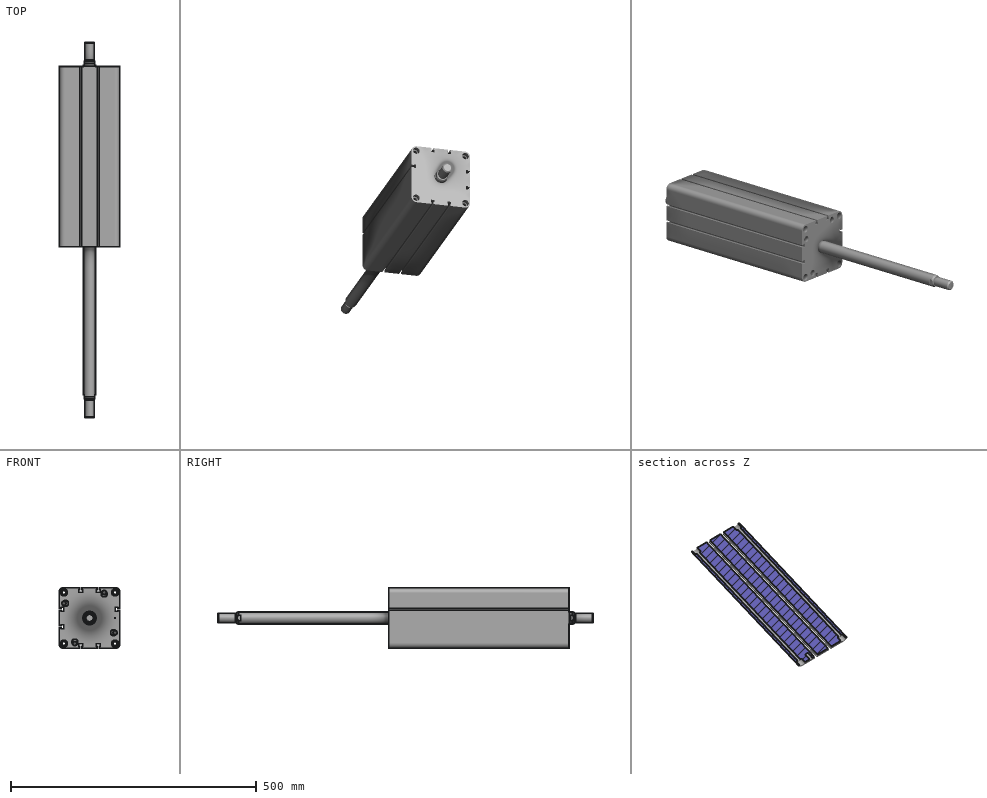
import cadquery as cq

total_length = 766.5
housing_side = 124.0
housing_length = 368.0
corner_radius = 11.0
half_side = housing_side / 2

rod_diameter = 25.0
rod_bore_diameter = 27.0
rod_bore_depth = 8.0
rod_end_chamfer_length = 4.0
rod_end_diameter = 21.5
flat_width = 22.0
flat_length = 8.5
neck_diameter = 18.0
neck_length = 3.0
thread_diameter = 20.0
thread_length = 36.0
thread_chamfer = 2.0
rear_overhang = 50.0
front_overhang = total_length - housing_length - rear_overhang

slot_offset = 18.0
slot_neck_width = 4.5
slot_depth = 9.0
slot_undercut_height = 4.5
slot_undercut_width = 8.0

tie_hole_offset = 52.0
tie_hole_diameter = 8.5
tie_counterbore_diameter = 14.0
tie_counterbore_depth = 11.5

port_across = 30.0
port_out = 49.0
port_diameter = 12.0
port_depth = 8.0
port_core_out = 52.0
port_core_diameter = 8.5
port_core_depth = 15.0

pin_hole_x = 52.0
pin_hole_diameter = 1.5
pin_hole_depth = 4.0

front_face_y = -housing_length / 2
rear_face_y = housing_length / 2


def cylinder_along_y(diameter, x, z, start_y, length):
    """Cylinder that starts at start_y and runs toward +Y."""
    base = cq.Plane(origin=(x, start_y, z), xDir=(1, 0, 0), normal=(0, 1, 0))
    return cq.Workplane(base).circle(diameter / 2).extrude(length)


def rotated_about_rod(shape, angle):
    return shape.rotate((0, 0, 0), (0, 1, 0), angle)


def make_housing():
    block = cq.Workplane("XY").box(housing_side, housing_length, housing_side)
    return block.edges("|Y").fillet(corner_radius)


def make_slot(side):
    """T slot cutter in the +Z face, at +X for side 1 and at -X for side -1."""
    neck = cq.Workplane("XY").box(slot_neck_width, housing_length, slot_depth)
    neck = neck.translate((side * slot_offset, 0, half_side - slot_depth / 2))
    undercut = cq.Workplane("XY").box(slot_undercut_width, housing_length, slot_undercut_height)
    undercut = undercut.translate((
        side * slot_offset, 0, half_side - slot_depth + slot_undercut_height / 2))
    return neck.union(undercut)


def cut_slots(body):
    for angle in (0, 90, 180, 270):
        for side in (1, -1):
            if angle == 90 and side > 0:
                continue
            body = body.cut(rotated_about_rod(make_slot(side), angle))
    return body


def cut_tie_holes(body):
    for x in (-tie_hole_offset, tie_hole_offset):
        for z in (-tie_hole_offset, tie_hole_offset):
            hole = cylinder_along_y(tie_hole_diameter, x, z, front_face_y, housing_length)
            front = cylinder_along_y(
                tie_counterbore_diameter, x, z, front_face_y, tie_counterbore_depth)
            rear = cylinder_along_y(
                tie_counterbore_diameter, x, z, rear_face_y, -tie_counterbore_depth)
            body = body.cut(hole).cut(front).cut(rear)
    return body


def cut_ports(body):
    recess = cylinder_along_y(port_diameter, port_across, port_out, front_face_y, port_depth)
    core = cylinder_along_y(
        port_core_diameter, port_across, port_core_out, front_face_y, port_core_depth)
    port = recess.union(core)
    for angle in (0, 90, 180, 270):
        body = body.cut(rotated_about_rod(port, angle))
    return body


def cut_pin_hole(body):
    return body.cut(
        cylinder_along_y(pin_hole_diameter, pin_hole_x, 0, front_face_y, pin_hole_depth))


def cut_rod_bores(body):
    for face_y, depth in ((front_face_y, rod_bore_depth), (rear_face_y, -rod_bore_depth)):
        body = body.cut(cylinder_along_y(rod_bore_diameter, 0, 0, face_y, depth))
    return body


def make_half_rod(overhang):
    """Rod from the housing centre toward +Y, with flats, neck and threaded end."""
    tip_y = rear_face_y + overhang
    thread_y = tip_y - thread_length
    rod_end_y = thread_y - neck_length
    rod_radius = rod_diameter / 2
    neck_radius = neck_diameter / 2
    thread_radius = thread_diameter / 2
    profile = [
        (0, 0),
        (rod_radius, 0),
        (rod_radius, rod_end_y - rod_end_chamfer_length),
        (rod_end_diameter / 2, rod_end_y),
        (neck_radius, rod_end_y),
        (neck_radius, thread_y),
        (thread_radius, thread_y),
        (thread_radius, tip_y - thread_chamfer),
        (thread_radius - thread_chamfer, tip_y),
        (0, tip_y),
    ]
    rod = cq.Workplane("XY").polyline(profile).close().revolve(360, (0, 0, 0), (0, 1, 0))
    for side in (-1, 1):
        flat = cq.Workplane("XY").box(rod_diameter, flat_length, rod_diameter)
        flat = flat.translate((
            side * (flat_width + rod_diameter) / 2, rod_end_y - flat_length / 2, 0))
        rod = rod.cut(flat)
    return rod


housing = make_housing()
housing = cut_slots(housing)
housing = cut_tie_holes(housing)
housing = cut_ports(housing)
housing = cut_pin_hole(housing)
housing = cut_rod_bores(housing)

rear_rod = make_half_rod(rear_overhang)
front_rod = make_half_rod(front_overhang).mirror("XZ")
result = housing.union(rear_rod).union(front_rod)